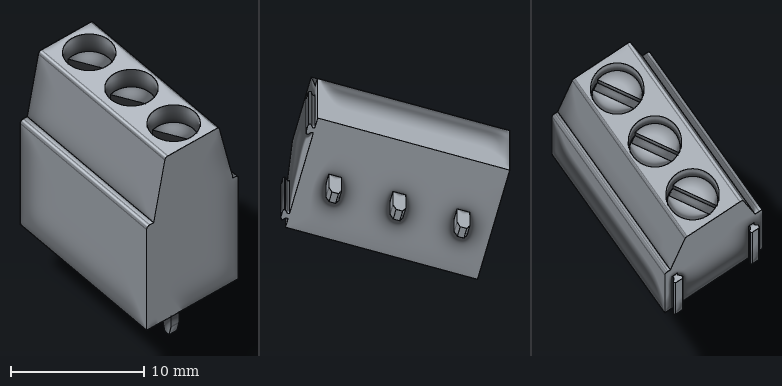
import cadquery as cq

pole_count = 3
pitch = 5.0
housing_length = 15.0
housing_depth = 8.9
total_height = 21.3
pin_length = 4.5
ledge_z = 15.23

top_front_y = -2.65
top_back_y = 2.58
slope_foot_front_y = -3.77
slope_foot_back_y = 3.95
edge_radius = 0.3
top_back_radius = 0.21

well_y = 0.21
well_diameter = 4.0
screw_diameter = 3.8
screw_recess = 1.7
slot_width = 0.85
slot_depth = 0.85
slot_angle = 30.0
ring_gap_depth = 1.28

pin_width = 1.0
pin_thickness = 0.79
pin_y = -0.06
pin_tip_width = 0.51
pin_taper_length = 1.0

rail_projection = 0.55
rail_top_z = 13.1
back_rail_y = 3.54
front_rail_y = -3.43
neck_start_x = -0.21
neck_half = 0.2
neck_flare_half = 0.25
rail_overlap = 0.1
back_rail_head = [(-rail_projection, 0.3), (-0.45, 0.43), (-0.38, 0.4)]
front_rail_head = [(-rail_projection, 0.28), (-0.5, 0.4), (-0.35, 0.4)]

first_pole_x = housing_length / 2 - pitch * (pole_count - 1) / 2
pole_xs = [first_pole_x + i * pitch for i in range(pole_count)]


def make_housing():
    """Wide base with a tapered upper part, extruded along X."""
    half_depth = housing_depth / 2
    section = [
        (-half_depth, pin_length),
        (-half_depth, ledge_z),
        (slope_foot_front_y, ledge_z),
        (top_front_y, total_height),
        (top_back_y, total_height),
        (slope_foot_back_y, ledge_z),
        (half_depth, ledge_z),
        (half_depth, pin_length),
    ]
    body = cq.Workplane("YZ").polyline(section).close().extrude(housing_length)
    middle_x = housing_length / 2
    rounded_corners = [
        (section[1], edge_radius),
        (section[3], edge_radius),
        (section[4], top_back_radius),
        (section[6], edge_radius),
    ]
    for (y, z), radius in rounded_corners:
        edge = cq.selectors.NearestToPointSelector((middle_x, y, z))
        body = body.edges(edge).fillet(radius)
    return body


def make_well(x):
    """Removed volume of one well: the bore around a screw head with a slanted slot."""
    bore_depth = screw_recess + ring_gap_depth
    bore = (
        cq.Workplane("XY", origin=(x, well_y, total_height))
        .circle(well_diameter / 2)
        .extrude(-bore_depth)
    )
    head_plane = cq.Workplane("XY", origin=(x, well_y, total_height - screw_recess))
    screw_head = head_plane.circle(screw_diameter / 2).extrude(-ring_gap_depth)
    slot = (
        head_plane.transformed(rotate=(0, 0, slot_angle))
        .rect(well_diameter, slot_width)
        .extrude(-slot_depth)
    )
    return bore.cut(screw_head.cut(slot))


def make_pin(x):
    """Flat pin whose sides taper towards the tip."""
    outline = [
        (x - pin_tip_width / 2, 0),
        (x - pin_width / 2, pin_taper_length),
        (x - pin_width / 2, pin_length),
        (x + pin_width / 2, pin_length),
        (x + pin_width / 2, pin_taper_length),
        (x + pin_tip_width / 2, 0),
    ]
    plane = cq.Workplane("XZ", origin=(0, pin_y, 0))
    return plane.polyline(outline).close().extrude(pin_thickness / 2, both=True)


def make_rail(y, head):
    """Upright rail with the given head outline on a waisted neck, symmetric about y."""
    outer_x, outer_half = head[0]
    outline = cq.Workplane("XY", origin=(0, y, pin_length)).moveTo(outer_x, outer_half)
    for x, half in head[1:]:
        outline = outline.lineTo(x, half)
    outline = (
        outline.lineTo(neck_start_x, neck_flare_half)
        .threePointArc((neck_start_x / 2, neck_half), (0, neck_flare_half))
        .lineTo(rail_overlap, neck_flare_half)
        .lineTo(rail_overlap, 0)
        .lineTo(outer_x, 0)
        .close()
    )
    half_rail = outline.extrude(rail_top_z - pin_length)
    return half_rail.union(half_rail.mirror("XZ", (0, y, 0)))


result = make_housing()
for pole_x in pole_xs:
    result = result.cut(make_well(pole_x)).union(make_pin(pole_x))
result = result.union(make_rail(back_rail_y, back_rail_head))
result = result.union(make_rail(front_rail_y, front_rail_head))